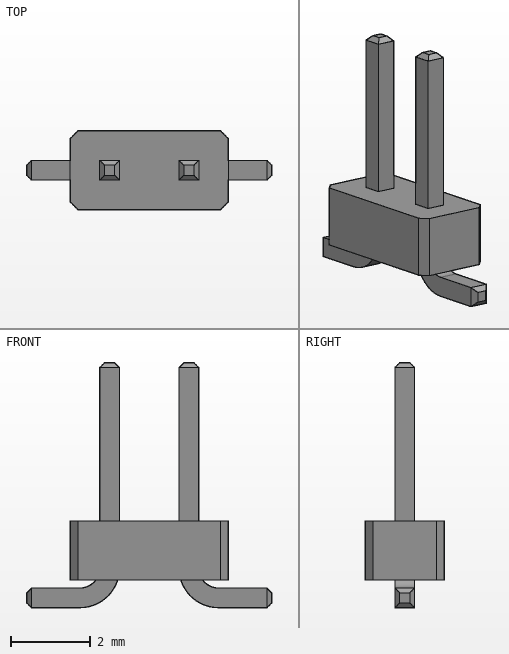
import cadquery as cq

overall_length = 6.2
body_length = 4.0
body_width = 2.0
body_height = 1.5
body_corner_chamfer = 0.2
pin_size = 0.5
pin_pitch = 2.0
tip_chamfer = 0.125
foot_clearance = 0.2

overall_height = overall_length
foot_tip_x = overall_length / 2
body_bottom = pin_size + foot_clearance
inner_bend_radius = pin_size
outer_bend_radius = inner_bend_radius + pin_size
pin_inner_x = pin_pitch / 2 - pin_size / 2
pin_outer_x = pin_inner_x + pin_size
bend_center_x = pin_inner_x + outer_bend_radius


def make_body():
    """Rectangular housing with chamfered vertical corners."""
    return (
        cq.Workplane("XY", origin=(0, 0, body_bottom))
        .rect(body_length, body_width)
        .extrude(body_height)
        .edges("|Z")
        .chamfer(body_corner_chamfer)
    )


def make_right_pin():
    """Square pin running down through the body and bending out to a flat foot in +X."""
    outline = (
        cq.Workplane("XZ")
        .moveTo(foot_tip_x, 0)
        .lineTo(bend_center_x, 0)
        .radiusArc((pin_inner_x, outer_bend_radius), outer_bend_radius)
        .lineTo(pin_inner_x, overall_height)
        .lineTo(pin_outer_x, overall_height)
        .lineTo(pin_outer_x, outer_bend_radius)
        .radiusArc((bend_center_x, pin_size), -inner_bend_radius)
        .lineTo(foot_tip_x, pin_size)
        .close()
    )
    pin = outline.extrude(pin_size / 2, both=True)
    pin = pin.faces(">Z").chamfer(tip_chamfer)
    return pin.faces(">X").chamfer(tip_chamfer)


right_pin = make_right_pin()
left_pin = right_pin.mirror("YZ")
result = make_body().union(right_pin).union(left_pin)